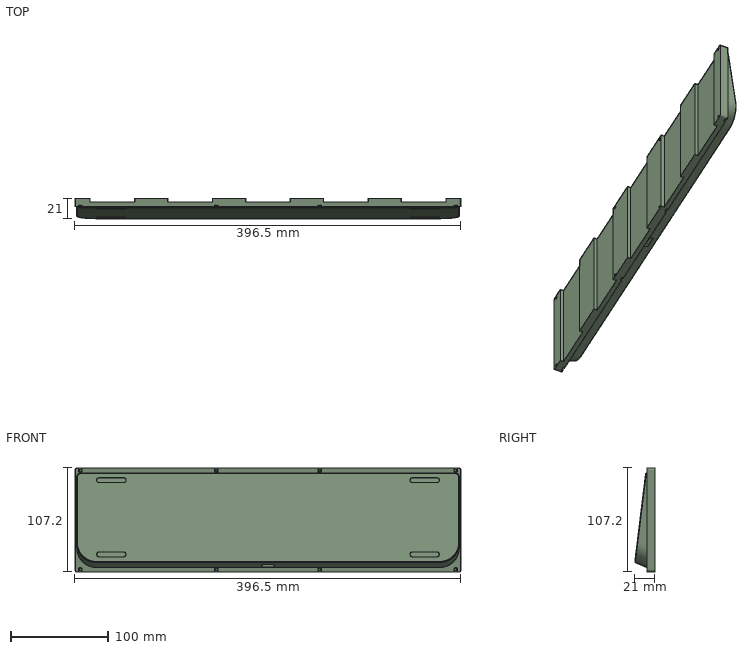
import math

import cadquery as cq

PLATE_LENGTH = 396.52
PLATE_HEIGHT = 107.25
PLATE_THICKNESS = 8.5
PLATE_CORNER_RADIUS = 2.5

TOTAL_DEPTH = 21.02
BODY_SIDE_MARGIN = 1.7
BODY_TOP_MARGIN = 5.8
BODY_BOTTOM_MARGIN = 4.8
BODY_TOP_RADIUS = 4.0
BODY_BOTTOM_RADIUS = 20.5
BODY_LEAN = 0.43
FACE_TILT = 7.0
FACE_EDGE_CHAMFER = 0.7

SCREW_DIAMETER = 2.07
SCREW_HEAD_WIDTH = 3.7
SCREW_HEAD_DEPTH = 1.3
SCREW_EDGE_DISTANCE = 2.8
SCREW_COLUMNS = (-193.0, -53.0, 53.0, 193.0)

NOTCH_COUNT = 5
NOTCH_PITCH = 80.0
NOTCH_WIDTH = 45.7
NOTCH_DEPTH = 3.6

FOOT_LENGTH = 30.0
FOOT_WIDTH = 5.0
FOOT_RADIUS = 2.4
FOOT_DEPTH = 0.5
FOOT_X = 161.0
FOOT_ROWS = (41.0, -35.3)

PORT_LENGTH = 13.2
PORT_WIDTH = 2.5
PORT_RISE = 0.4

tilt = math.radians(FACE_TILT)
body_half_length = PLATE_LENGTH / 2 - BODY_SIDE_MARGIN
body_top = PLATE_HEIGHT / 2 - BODY_TOP_MARGIN
body_bottom = BODY_BOTTOM_MARGIN - PLATE_HEIGHT / 2
body_middle = (body_top + body_bottom) / 2

corner_depth = TOTAL_DEPTH + FACE_EDGE_CHAMFER * math.sin(tilt)
corner_z = body_bottom + BODY_LEAN * (corner_depth - PLATE_THICKNESS)


def face_depth(z):
    """Distance of the tilted face from the back of the plate at height z."""
    return corner_depth - (z - corner_z) * math.tan(tilt)


def face_plane(z):
    """Plane lying in the tilted face, centred at height z, normal pointing outwards."""
    return cq.Plane(
        origin=(0, -face_depth(z), z),
        xDir=(1, 0, 0),
        normal=(0, -math.cos(tilt), math.sin(tilt)),
    )


def front_plane(depth, z=0):
    """Plane parallel to the plate with local X, Y along global X, Z."""
    return cq.Plane(origin=(0, -depth, z), xDir=(1, 0, 0), normal=(0, -1, 0))


def make_plate():
    plate = cq.Workplane(front_plane(0)).rect(PLATE_LENGTH, PLATE_HEIGHT).extrude(PLATE_THICKNESS)
    return plate.edges("|Y").fillet(PLATE_CORNER_RADIUS)


def body_outline(depth):
    """Rounded outline of the untrimmed body at the given depth."""
    middle = body_middle + BODY_LEAN * (depth - PLATE_THICKNESS)
    block = (
        cq.Workplane(front_plane(depth, middle))
        .rect(2 * body_half_length, body_top - body_bottom)
        .extrude(PLATE_THICKNESS)
    )
    block = block.edges("|Y and >Z").fillet(BODY_TOP_RADIUS)
    block = block.edges("|Y and <Z").fillet(BODY_BOTTOM_RADIUS)
    return block.faces(">Y").wires().val()


def make_body():
    trim_size = 2 * PLATE_LENGTH
    untrimmed_depth = corner_depth + FACE_EDGE_CHAMFER
    outlines = [body_outline(PLATE_THICKNESS), body_outline(untrimmed_depth)]
    body = cq.Workplane(cq.Solid.makeLoft(outlines, ruled=True))
    trim = cq.Workplane(face_plane(0)).rect(trim_size, trim_size).extrude(TOTAL_DEPTH)
    body = body.cut(trim)
    face = body.faces(cq.selectors.NearestToPointSelector((0, -face_depth(0), 0)))
    return face.edges().chamfer(FACE_EDGE_CHAMFER)


def cut_feet(part):
    for z in FOOT_ROWS:
        plane = face_plane(z)
        feet = (
            cq.Workplane(plane)
            .pushPoints([(-FOOT_X, 0), (FOOT_X, 0)])
            .rect(FOOT_LENGTH, FOOT_WIDTH)
            .extrude(-FOOT_DEPTH)
            .edges(cq.selectors.ParallelDirSelector(plane.zDir))
            .fillet(FOOT_RADIUS)
        )
        part = part.cut(feet)
    return part


def cut_screws(part):
    row = PLATE_HEIGHT / 2 - SCREW_EDGE_DISTANCE
    head_bottom = front_plane(PLATE_THICKNESS - SCREW_HEAD_DEPTH)
    for side in (1, -1):
        centres = [(x, side * row) for x in SCREW_COLUMNS]
        slot_centres = [(x, side * (row + SCREW_EDGE_DISTANCE / 2)) for x in SCREW_COLUMNS]
        holes = cq.Workplane(front_plane(0)).pushPoints(centres)
        part = part.cut(holes.circle(SCREW_DIAMETER / 2).extrude(PLATE_THICKNESS))
        heads = cq.Workplane(head_bottom).pushPoints(centres)
        part = part.cut(heads.circle(SCREW_HEAD_WIDTH / 2).extrude(SCREW_HEAD_DEPTH))
        slots = cq.Workplane(head_bottom).pushPoints(slot_centres)
        part = part.cut(slots.rect(SCREW_HEAD_WIDTH, SCREW_EDGE_DISTANCE).extrude(SCREW_HEAD_DEPTH))
    return part


def cut_notches(part):
    notches = (
        cq.Workplane(front_plane(0))
        .rarray(NOTCH_PITCH, 1, NOTCH_COUNT, 1)
        .rect(NOTCH_WIDTH, PLATE_HEIGHT)
        .extrude(NOTCH_DEPTH)
    )
    return part.cut(notches)


def cut_port(part):
    port_z = body_bottom + PORT_RISE + PORT_WIDTH / 2
    port = (
        cq.Workplane(front_plane(PLATE_THICKNESS, port_z))
        .slot2D(PORT_LENGTH, PORT_WIDTH)
        .extrude(TOTAL_DEPTH)
    )
    return part.cut(port)


result = make_plate().union(make_body())
result = cut_feet(result)
result = cut_screws(result)
result = cut_notches(result)
result = cut_port(result)